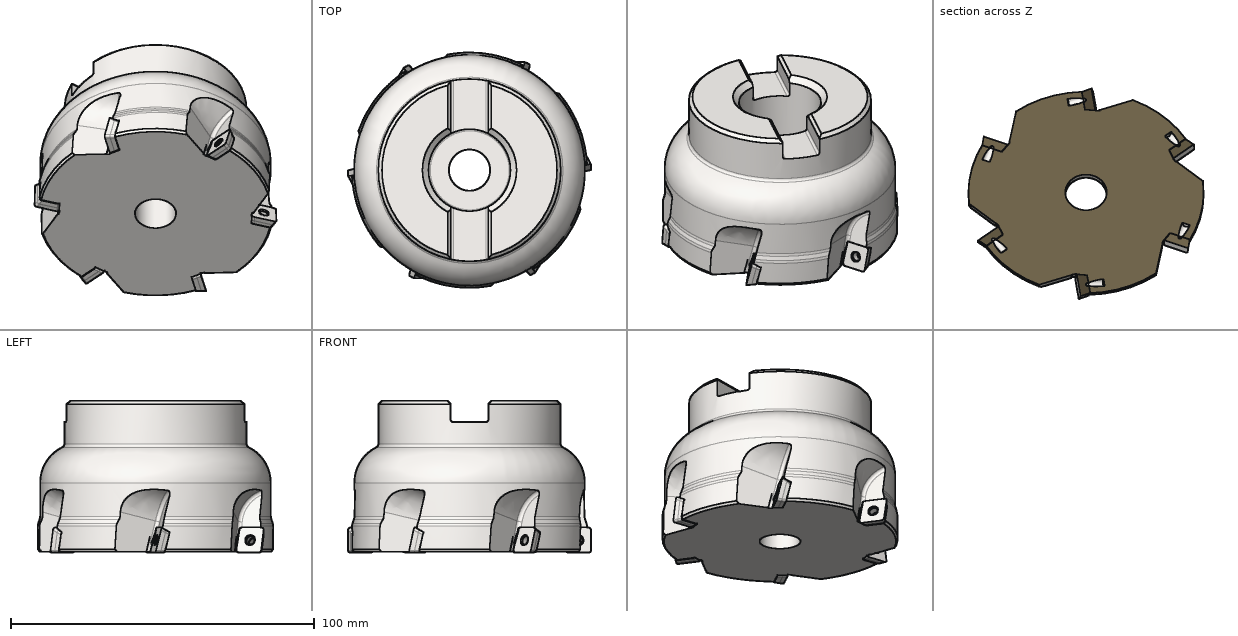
import cadquery as cq
import math

total_height = 50.0
body_bottom = 0.25
neck_radius = 30.0
neck_chamfer = 1.2
neck_fillet = 1.2
shoulder_radius = 38.0
shoulder_bottom = 23.0
shoulder_arc = 13.0
rim_radius = 38.75
rim_top = 9.25
rim_cone_top = 11.5
rim_blend = 3.0
rim_chamfer_width = 0.6
rim_chamfer_height = 0.9

bore_radius = 13.5
bore_floor = 28.0
bore_floor_fillet = 0.5
bore_mouth_radius = 15.5
through_hole_radius = 6.75
slot_width = 12.4
slot_depth = 7.0
slot_chamfer = 1.0
slot_fillet = 0.8

insert_count = 6
insert_pitch = 360 / insert_count
cutting_radius = 40.0
insert_size = 8.5
insert_corner = 0.8
margin_thickness = 1.6
margin_relief = math.radians(13.5)
back_thickness = 1.6
back_relief = math.radians(15)
insert_hole_radius = 1.4
insert_hole_mouth = 1.725
mouth_depth = 0.5
screw_hole_radius = 1.25
screw_hole_depth = 5.0
pocket_clearance = 0.2
axial_rake = math.radians(13.5)
radial_rake = math.radians(12)

flute_top = 21.0
flute_arc = 11.0
flute_floor_gap = 0.3
flute_opening = math.radians(11)
flute_fillet = 1.1
wall_setback = 0.5
flute_length = 30.0
overshoot = 5.0

outward = cq.Vector(math.cos(radial_rake), math.sin(radial_rake), 0)
across = cq.Vector(math.sin(radial_rake), -math.cos(radial_rake), 0)
rake_normal = across * math.cos(axial_rake) + cq.Vector(0, 0, math.sin(axial_rake))
rake_plane = cq.Plane(origin=(cutting_radius, 0, 0), xDir=outward, normal=rake_normal)
edge_skew = math.tan(radial_rake) * math.sin(axial_rake)
insert_centre = (insert_size * (edge_skew - 1) / 2, insert_size / 2)


def insert_plane_point(x, y, depth):
    """Point measured from the insert's centre, at a depth behind the rake plane."""
    return rake_plane.toWorldCoords((insert_centre[0] + x, insert_centre[1] + y, -depth))


def circle_edge(height):
    """Selects the circular edges at one height."""
    return cq.selectors.BoxSelector(
        (-rim_radius * 2, -rim_radius * 2, height - 0.01),
        (rim_radius * 2, rim_radius * 2, height + 0.01),
        boundingbox=True,
    )


def turned_body():
    arc_centre = shoulder_radius - shoulder_arc
    sweep = math.acos((neck_radius - arc_centre) / shoulder_arc)
    neck_bottom = shoulder_bottom + shoulder_arc * math.sin(sweep)
    arc_middle = (
        arc_centre + shoulder_arc * math.cos(sweep / 2),
        shoulder_bottom + shoulder_arc * math.sin(sweep / 2),
    )
    body = (
        cq.Workplane("XZ")
        .moveTo(0, body_bottom)
        .lineTo(rim_radius - rim_chamfer_width, body_bottom)
        .lineTo(rim_radius, body_bottom + rim_chamfer_height)
        .lineTo(rim_radius, rim_top)
        .lineTo(shoulder_radius, rim_cone_top)
        .lineTo(shoulder_radius, shoulder_bottom)
        .threePointArc(arc_middle, (neck_radius, neck_bottom))
        .lineTo(neck_radius, total_height - neck_chamfer)
        .lineTo(neck_radius - neck_chamfer, total_height)
        .lineTo(0, total_height)
        .close()
        .revolve(360, (0, 0), (0, 1))
    )
    body = body.edges(circle_edge(neck_bottom)).fillet(neck_fillet)
    for height in (rim_top, rim_cone_top):
        body = body.edges(circle_edge(height)).fillet(rim_blend)
    return body


def arbor_bore():
    mouth_width = bore_mouth_radius - bore_radius
    bore = (
        cq.Workplane("XY", origin=(0, 0, bore_floor))
        .circle(bore_radius)
        .extrude(total_height - bore_floor)
        .faces("<Z").edges().fillet(bore_floor_fillet)
    )
    mouth = cq.Workplane(
        cq.Solid.makeCone(
            bore_radius, bore_mouth_radius, mouth_width, cq.Vector(0, 0, total_height - mouth_width)
        )
    )
    through_hole = cq.Workplane("XY").circle(through_hole_radius).extrude(total_height)
    return bore.union(mouth).union(through_hole)


def drive_slot():
    floor = total_height - slot_depth
    half = slot_width / 2
    return (
        cq.Workplane("XZ")
        .moveTo(-half, floor)
        .lineTo(half, floor)
        .lineTo(half, total_height - slot_chamfer)
        .lineTo(half + slot_chamfer, total_height)
        .lineTo(-half - slot_chamfer, total_height)
        .lineTo(-half, total_height - slot_chamfer)
        .close()
        .extrude(neck_radius + overshoot, both=True)
        .edges("|Y and <Z").fillet(slot_fillet)
    )


def insert_section(depth, inset, corner):
    """Outline of the insert at a depth behind the rake plane; a zero corner leaves it sharp."""
    half_size = insert_size / 2 - inset
    half_lean = half_size * edge_skew
    corners = [
        insert_plane_point(half_size - half_lean, -half_size, depth),
        insert_plane_point(half_size + half_lean, half_size, depth),
        insert_plane_point(-half_size + half_lean, half_size, depth),
        insert_plane_point(-half_size - half_lean, -half_size, depth),
    ]
    outline = cq.Wire.makePolygon(corners, close=True)
    if corner > 0:
        outline = outline.fillet2D(corner, outline.Vertices())
    return outline


def insert_blank(corner):
    """Two layers behind the rake plane, each with its own flank relief."""
    margin_inset = margin_thickness * math.tan(margin_relief)
    back_inset = margin_inset + back_thickness * math.tan(back_relief)
    rake_face = insert_section(0, 0, corner)
    middle = insert_section(margin_thickness, margin_inset, corner)
    seat = insert_section(margin_thickness + back_thickness, back_inset, corner)
    front = cq.Workplane(cq.Solid.makeLoft([rake_face, middle], True))
    return front.union(cq.Workplane(cq.Solid.makeLoft([middle, seat], True)))


def cutting_insert():
    thickness = margin_thickness + back_thickness
    hole = (
        cq.Workplane(rake_plane).center(*insert_centre)
        .circle(insert_hole_radius)
        .extrude(-thickness)
    )
    mouth = cq.Solid.makeCone(
        insert_hole_mouth, insert_hole_radius, mouth_depth,
        insert_plane_point(0, 0, 0), rake_normal * -1,
    )
    return insert_blank(insert_corner).cut(hole).cut(cq.Workplane(mouth))


def insert_pocket():
    """Seat for one insert, opened forward through the flute's fillet, with its screw hole."""
    thickness = margin_thickness + back_thickness
    opening = cq.Solid.extrudeLinear(
        insert_section(0, -pocket_clearance, 0), [], rake_normal * (flute_fillet + pocket_clearance)
    )
    screw_hole = (
        cq.Workplane(rake_plane).center(*insert_centre)
        .circle(screw_hole_radius)
        .extrude(-thickness - screw_hole_depth)
    )
    return insert_blank(0).union(cq.Workplane(opening)).union(screw_hole)


def flute():
    """Wall behind the rake plane, flat floor rising into an arc, swept away from the wall."""
    floor_x = -insert_size - flute_floor_gap
    open_x = floor_x + flute_arc + overshoot
    top_y = flute_top / math.cos(axial_rake)
    arc_y = top_y - flute_arc
    corner = flute_arc * (1 - math.sqrt(0.5))
    profile = (
        cq.Workplane(rake_plane).workplane(offset=-wall_setback)
        .moveTo(floor_x, -overshoot)
        .lineTo(floor_x, arc_y)
        .threePointArc((floor_x + corner, top_y - corner), (floor_x + flute_arc, top_y))
        .lineTo(open_x, top_y)
        .lineTo(open_x, -overshoot)
        .close()
    )
    sweep = rake_normal * math.cos(flute_opening) + outward * math.sin(flute_opening)
    cutter = cq.Workplane(cq.Solid.extrudeLinear(profile.val(), [], sweep * flute_length))
    wall_outline = cutter.faces(cq.selectors.DirectionNthSelector(rake_normal * -1, -1)).edges()
    inner_edges = wall_outline.filter(
        lambda edge: rake_plane.toLocalCoords(edge.Center()).x < floor_x + flute_arc / 2
    )
    return inner_edges.filter(
        lambda edge: edge.Center().z > -overshoot / 2
    ).fillet(flute_fillet)


def around(shape):
    """One copy of the shape for each insert position."""
    return [
        shape.rotate((0, 0, 0), (0, 0, 1), index * insert_pitch)
        for index in range(insert_count)
    ]


body = turned_body().cut(arbor_bore()).cut(drive_slot())
for flute_copy in around(flute()):
    body = body.cut(flute_copy)
for pocket_copy in around(insert_pocket()):
    body = body.cut(pocket_copy)

inserts = around(cutting_insert())

result = cq.Compound.makeCompound([body.val(), *[insert.val() for insert in inserts]])